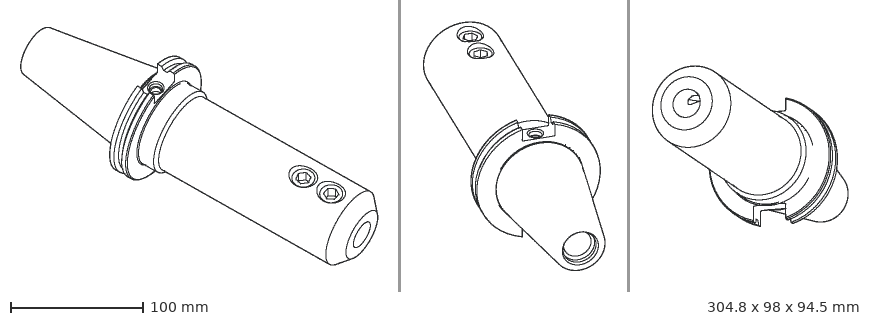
import cadquery as cq
import math


TOTAL_LENGTH = 304.8
TAPER_SMALL_DIA = 40.2
TAPER_LARGE_DIA = 69.8
TAPER_LENGTH = 101.8
TAPER_EDGE_FILLET = 3.0

NECK_DIA = 69.0
NECK_STEP_LENGTH = 0.5

FLANGE_DIA = 98.0
FLANGE_START = 105.0
FLANGE_WIDTH = 16.0
FLANGE_EDGE_CHAMFER = 1.0
FLANGE_ROOT_FILLET = 1.0
GROOVE_FROM_FLANGE_START = 7.5
GROOVE_FLOOR_WIDTH = 3.5
GROOVE_DEPTH = 3.5
GROOVE_FLANK_ANGLE = 30.0

COLLAR_DIA = 69.8
COLLAR_END = 138.0
COLLAR_CHAMFER_LENGTH = 2.5
SHANK_DIA = 63.5
SHANK_END_CHAMFER = 11.0

SLOT_WIDTH = 26.0
SLOT_CORNER_FILLET = 1.0
UPPER_SLOT_FLOOR = 37.2
LOWER_SLOT_FLOOR = 35.0

KEY_HOLE_DIA = 10.0
KEY_HOLE_DEPTH = 4.5
KEY_HOLE_CHAMFER = 1.2
KEY_PILOT_DIA = 8.0
KEY_PILOT_DEPTH = 9.0
DRILL_TIP_ANGLE = 118.0

BORE_DIA = 22.0
PILOT_DIA = 26.2
PILOT_MOUTH_CHAMFER = 1.2
PILOT_MOUTH_DEPTH = 2.0
PILOT_DEPTH = 5.5

SCREW_DIA = 17.5
SCREW_PITCH = 26.0
LAST_SCREW_FROM_END = 28.5
SCREW_TOP = 29.0
SCREW_BOTTOM = BORE_DIA / 2
SCREW_SINK_DIA = 23.0
HEXAGON_SIDES = 6
SOCKET_FLATS = 10.0
SOCKET_DEPTH = 9.0
SOCKET_TURNS = [45.0, 30.0]

SHANK_RADIUS = SHANK_DIA / 2
GROOVE_CENTER = FLANGE_START + GROOVE_FROM_FLANGE_START
FLANGE_RADIUS = FLANGE_DIA / 2
FLANGE_END = FLANGE_START + FLANGE_WIDTH
LAST_SCREW_X = TOTAL_LENGTH - LAST_SCREW_FROM_END
SCREW_PLACES = [LAST_SCREW_X - SCREW_PITCH, LAST_SCREW_X]


def revolve_about_x(points):
    """Turn an (axial, radial) outline about the X axis."""
    return cq.Workplane("XY").polyline(points).close().revolve(360, (0, 0, 0), (1, 0, 0))


def revolve_about_z(x, points):
    """Turn a (radial, height) outline about the vertical line at x."""
    turned = cq.Workplane("XZ").polyline(points).close().revolve(360, (0, 0, 0), (0, 1, 0))
    return turned.translate((x, 0, 0))


def root_edge(x):
    """Pick the circle where a flange face at x meets the neck or the collar."""
    reach = (FLANGE_RADIUS + COLLAR_DIA / 2) / 2
    margin = FLANGE_EDGE_CHAMFER / 2
    return cq.selectors.BoxSelector((x - margin, -reach, -reach), (x + margin, reach, reach), True)


def turned_body():
    outline = [
        (0, 0),
        (0, TAPER_SMALL_DIA / 2),
        (TAPER_LENGTH, TAPER_LARGE_DIA / 2),
        (TAPER_LENGTH + NECK_STEP_LENGTH, NECK_DIA / 2),
        (FLANGE_START, NECK_DIA / 2),
        (FLANGE_START, FLANGE_RADIUS),
        (FLANGE_END - FLANGE_EDGE_CHAMFER, FLANGE_RADIUS),
        (FLANGE_END, FLANGE_RADIUS - FLANGE_EDGE_CHAMFER),
        (FLANGE_END, COLLAR_DIA / 2),
        (COLLAR_END - COLLAR_CHAMFER_LENGTH, COLLAR_DIA / 2),
        (COLLAR_END, SHANK_RADIUS),
        (TOTAL_LENGTH - SHANK_END_CHAMFER, SHANK_RADIUS),
        (TOTAL_LENGTH, SHANK_RADIUS - SHANK_END_CHAMFER),
        (TOTAL_LENGTH, 0),
    ]
    body = revolve_about_x(outline).faces("<X").edges().fillet(TAPER_EDGE_FILLET)
    body = body.edges(root_edge(FLANGE_START)).fillet(FLANGE_ROOT_FILLET)
    return body.edges(root_edge(FLANGE_END)).fillet(FLANGE_ROOT_FILLET)


def gripper_groove():
    floor_half = GROOVE_FLOOR_WIDTH / 2
    top_half = floor_half + GROOVE_DEPTH * math.tan(math.radians(GROOVE_FLANK_ANGLE))
    floor_radius = FLANGE_RADIUS - GROOVE_DEPTH
    return revolve_about_x([
        (GROOVE_CENTER - floor_half, floor_radius),
        (GROOVE_CENTER - top_half, FLANGE_RADIUS),
        (GROOVE_CENTER + top_half, FLANGE_RADIUS),
        (GROOVE_CENTER + floor_half, floor_radius),
    ])


def drive_slot(floor, side):
    """Slot across the flange, above (side = 1) or below (side = -1) the axis."""
    height = FLANGE_RADIUS - floor
    block = cq.Workplane("XY").box(FLANGE_WIDTH, SLOT_WIDTH, height)
    floor_face = "<Z" if side > 0 else ">Z"
    block = block.faces(floor_face).edges("|X").fillet(SLOT_CORNER_FILLET)
    return block.translate((FLANGE_START + FLANGE_WIDTH / 2, 0, side * (floor + height / 2)))


def key_hole():
    top = UPPER_SLOT_FLOOR
    hole_radius = KEY_HOLE_DIA / 2
    pilot_radius = KEY_PILOT_DIA / 2
    tip_height = pilot_radius / math.tan(math.radians(DRILL_TIP_ANGLE / 2))
    return revolve_about_z(FLANGE_START + FLANGE_WIDTH / 2, [
        (0, top),
        (hole_radius + KEY_HOLE_CHAMFER, top),
        (hole_radius, top - KEY_HOLE_CHAMFER),
        (hole_radius, top - KEY_HOLE_DEPTH),
        (pilot_radius, top - KEY_HOLE_DEPTH),
        (pilot_radius, top - KEY_PILOT_DEPTH),
        (0, top - KEY_PILOT_DEPTH - tip_height),
    ])


def axial_bore():
    """Through bore, reached from the pilot by a 45 degree cone."""
    bore_radius = BORE_DIA / 2
    pilot_radius = PILOT_DIA / 2
    return revolve_about_x([
        (0, 0),
        (0, pilot_radius + PILOT_MOUTH_CHAMFER),
        (PILOT_MOUTH_DEPTH, pilot_radius),
        (PILOT_DEPTH, pilot_radius),
        (PILOT_DEPTH + pilot_radius - bore_radius, bore_radius),
        (TOTAL_LENGTH, bore_radius),
        (TOTAL_LENGTH, 0),
    ])


def screw_hole(x):
    """Hole from the bore up to a 45 degree countersink in the shank surface."""
    hole_radius = SCREW_DIA / 2
    sink_radius = SCREW_SINK_DIA / 2
    return revolve_about_z(x, [
        (0, 0),
        (hole_radius, 0),
        (hole_radius, SHANK_RADIUS - (sink_radius - hole_radius)),
        (sink_radius, SHANK_RADIUS),
        (0, SHANK_RADIUS),
    ])


def make_holder():
    body = turned_body().cut(gripper_groove())
    body = body.cut(drive_slot(UPPER_SLOT_FLOOR, 1))
    body = body.cut(drive_slot(LOWER_SLOT_FLOOR, -1))
    body = body.cut(key_hole()).cut(axial_bore())
    for x in SCREW_PLACES:
        body = body.cut(screw_hole(x))
    return body


def make_screw(x, socket_turn):
    """Set screw with a hexagon socket in its top face."""
    corner_dia = SOCKET_FLATS / math.cos(math.pi / HEXAGON_SIDES)
    screw = cq.Workplane("XY").circle(SCREW_DIA / 2).extrude(SCREW_TOP - SCREW_BOTTOM)
    socket = cq.Workplane("XY").polygon(HEXAGON_SIDES, corner_dia).extrude(SOCKET_DEPTH)
    socket = socket.rotate((0, 0, 0), (0, 0, 1), socket_turn)
    socket = socket.translate((0, 0, SCREW_TOP - SCREW_BOTTOM - SOCKET_DEPTH))
    return screw.cut(socket).translate((x, 0, SCREW_BOTTOM))


holder = make_holder()
screws = [make_screw(x, turn).val() for x, turn in zip(SCREW_PLACES, SOCKET_TURNS)]

result = cq.Compound.makeCompound([holder.val(), *screws])